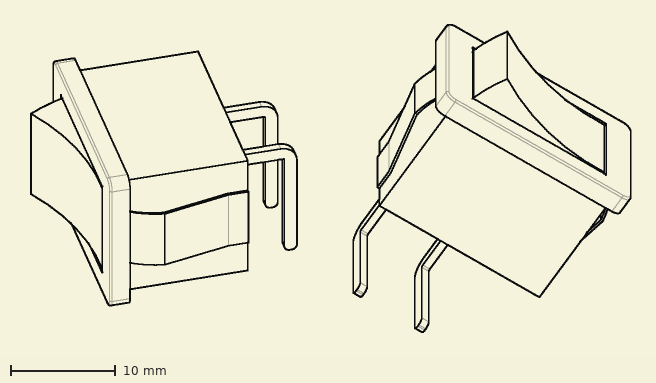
import cadquery as cq


bezel_width = 21.0
bezel_height = 15.0
bezel_thickness = 2.0
bezel_corner_radius = 1.0
bezel_edge_radius = 0.2

case_width = 18.2
case_height = 13.0
case_depth = 12.0
case_back = bezel_thickness + case_depth

window_width = 15.2
window_height = 10.23
window_depth = bezel_thickness / 2

clip_height = 6.02
clip_thickness = 0.25
clip_width_over_peaks = 21.4
clip_foot_length = 2.0
clip_ramp_length = 6.65
clip_bow = 0.2
clip_tip_thickness = 0.15
clip_tip_gap = 0.15

terminal_positions = (-7.0, 0.0)
terminal_width = 0.8
terminal_thickness = 1.25
terminal_reach = 7.2
terminal_top = 0.65
terminal_bottom = -11.5
terminal_bend_outer_radius = 1.62
terminal_bend_inner_radius = 0.17
terminal_tip_radius = 0.55

rocker_width = 14.85
rocker_height = 9.55
rocker_shoulder_depth = 0.05
rocker_tip_x = -5.85
rocker_tip_protrusion = 3.4
rocker_face_sag = 1.0
rocker_side_bulge = 0.12


def make_bezel():
    bezel = cq.Workplane("XY").box(
        bezel_width, bezel_thickness, bezel_height, centered=(True, False, True)
    )
    bezel = bezel.edges("|Y").fillet(bezel_corner_radius)
    bezel = bezel.faces("<Y").edges().fillet(bezel_edge_radius)
    window = cq.Workplane("XY").box(
        window_width, window_depth, window_height, centered=(True, False, True)
    )
    return bezel.cut(window)


def make_case():
    return (
        cq.Workplane("XY")
        .box(case_width, case_depth, case_height, centered=(True, False, True))
        .translate((0, bezel_thickness, 0))
    )


def make_right_clip():
    """Foot flat on the case, straight ramp outwards, then a tapering bow back to the bezel."""
    foot_inner = case_width / 2
    foot_outer = foot_inner + clip_thickness
    peak_outer = clip_width_over_peaks / 2
    peak_inner = peak_outer - clip_thickness
    tip_inner = foot_inner + clip_tip_gap
    tip_outer = tip_inner + clip_tip_thickness
    ramp_start = case_back - clip_foot_length
    peak_y = ramp_start - clip_ramp_length
    return (
        cq.Workplane("XY", origin=(0, 0, -clip_height / 2))
        .moveTo(foot_inner, case_back)
        .lineTo(foot_outer, case_back)
        .lineTo(foot_outer, ramp_start)
        .lineTo(peak_outer, peak_y)
        .sagittaArc((tip_outer, bezel_thickness), clip_bow)
        .lineTo(tip_inner, bezel_thickness)
        .sagittaArc((peak_inner, peak_y), -clip_bow)
        .lineTo(foot_inner, ramp_start)
        .close()
        .extrude(clip_height)
    )


def make_terminal(center_x):
    """L-shaped terminal that leaves the case backwards and bends down."""
    end_y = case_back + terminal_reach
    leg_inner_y = end_y - terminal_thickness
    arm_bottom = terminal_top - terminal_thickness
    terminal = (
        cq.Workplane("YZ", origin=(center_x - terminal_width / 2, 0, 0))
        .moveTo(case_back, terminal_top)
        .lineTo(end_y, terminal_top)
        .lineTo(end_y, terminal_bottom)
        .lineTo(leg_inner_y, terminal_bottom)
        .lineTo(leg_inner_y, arm_bottom)
        .lineTo(case_back, arm_bottom)
        .close()
        .extrude(terminal_width)
    )
    outer_bend = cq.selectors.NearestToPointSelector((center_x, end_y, terminal_top))
    inner_bend = cq.selectors.NearestToPointSelector((center_x, leg_inner_y, arm_bottom))
    terminal = terminal.edges("|X").edges(outer_bend).fillet(terminal_bend_outer_radius)
    terminal = terminal.edges("|X").edges(inner_bend).fillet(terminal_bend_inner_radius)
    return terminal.faces("<Z").edges("|X").fillet(terminal_tip_radius)


def make_housing():
    """Bezel, case, clips and terminals as one solid."""
    right_clip = make_right_clip()
    left_clip = right_clip.mirror("YZ")
    housing = make_bezel().union(make_case()).union(right_clip).union(left_clip)
    for center_x in terminal_positions:
        housing = housing.union(make_terminal(center_x))
    return housing


def make_rocker():
    """Rocker with a concave face, tilted so that its -X end stands out of the window."""
    half_width = rocker_width / 2
    return (
        cq.Workplane("XY", origin=(0, 0, -rocker_height / 2))
        .moveTo(half_width, window_depth)
        .lineTo(half_width, rocker_shoulder_depth)
        .sagittaArc((rocker_tip_x, -rocker_tip_protrusion), -rocker_face_sag)
        .sagittaArc((-half_width, rocker_shoulder_depth), rocker_side_bulge)
        .lineTo(-half_width, window_depth)
        .close()
        .extrude(rocker_height)
    )


housing = make_housing()
rocker = make_rocker()

result = cq.Compound.makeCompound([housing.val(), rocker.val()])